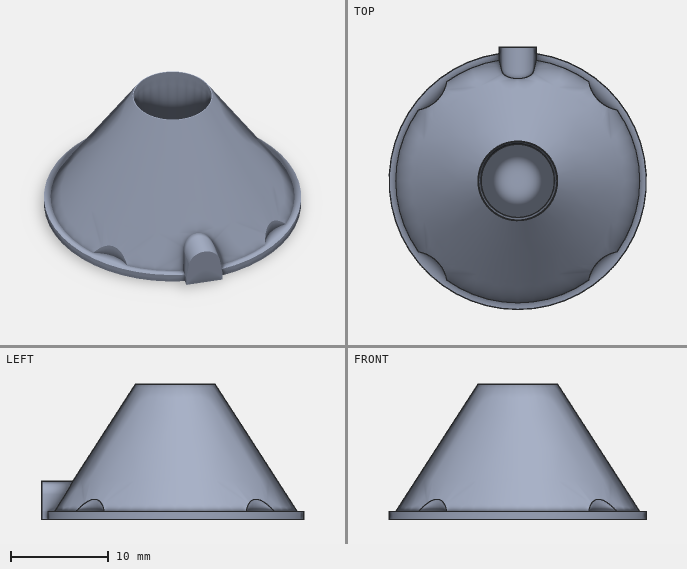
import cadquery as cq
import math

flange_diameter = 26.35
flange_radius = flange_diameter / 2
flange_height = 0.83

total_height = 13.85
cone_base_radius = 12.5
rim_radius = 4.08
bore_rim_radius = 4.0
bore_floor_radius = 3.73
bore_floor_z = flange_height

overall_length = 26.85
spout_length = overall_length - flange_radius
spout_foot_half_width = 1.9
spout_shoulder_half_width = 1.6
spout_shoulder_z = 2.65
spout_top_z = 3.95

scallop_count = 4
scallop_radius = 3.63
scallop_depth = 0.8
scallop_first_angle = 45


def frustum(bottom_radius, top_radius, bottom_z, top_z):
    """Solid of revolution about Z with straight tapered sides."""
    profile = [(0, bottom_z), (bottom_radius, bottom_z), (top_radius, top_z), (0, top_z)]
    return cq.Workplane("XZ").polyline(profile).close().revolve(360, (0, 0, 0), (0, 1, 0))


def scallop(angle):
    """Upright cylinder that bites into the cone just above the flange."""
    center_distance = cone_base_radius - scallop_depth + scallop_radius
    x = center_distance * math.cos(math.radians(angle))
    y = center_distance * math.sin(math.radians(angle))
    height = total_height - flange_height
    return (
        cq.Workplane("XY", origin=(x, y, flange_height))
        .circle(scallop_radius)
        .extrude(height)
    )


def spout():
    """Bar running from the part axis out past the flange along +Y."""
    return (
        cq.Workplane("XZ")
        .moveTo(-spout_foot_half_width, 0)
        .lineTo(spout_foot_half_width, 0)
        .lineTo(spout_foot_half_width, flange_height)
        .lineTo(spout_shoulder_half_width, spout_shoulder_z)
        .threePointArc((0, spout_top_z), (-spout_shoulder_half_width, spout_shoulder_z))
        .lineTo(-spout_foot_half_width, flange_height)
        .close()
        .extrude(-spout_length)
    )


flange = cq.Workplane("XY").circle(flange_radius).extrude(flange_height)
body = frustum(cone_base_radius, rim_radius, flange_height, total_height)
for index in range(scallop_count):
    body = body.cut(scallop(scallop_first_angle + index * 360 / scallop_count))

bore = frustum(bore_floor_radius, bore_rim_radius, bore_floor_z, total_height)
result = flange.union(body).union(spout()).cut(bore)